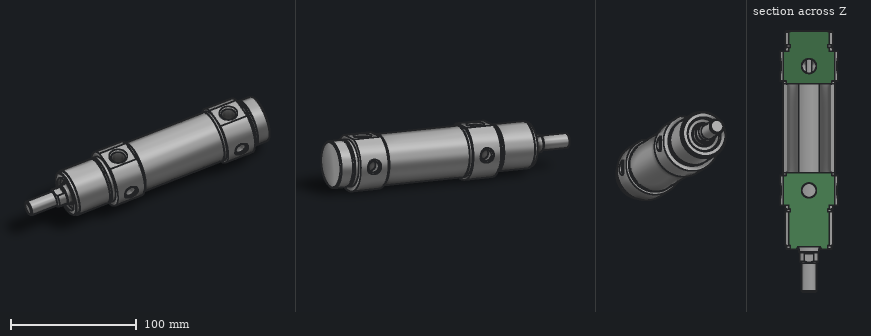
import cadquery as cq
import math


OVERALL_LENGTH = 208.0
NOSE_FACE_Y = 34.0
NOSE_LENGTH = 3.0
COLLAR_LENGTH = 24.0
FRONT_COLLAR_Y = 69.0
REAR_COLLAR_Y = 168.0
LIP_LENGTH = 2.2
NECK_LENGTH = 3.0
GROOVE_WIDTH = 2.0

COLLAR_DIA = 46.0
COLLAR_FLAT_Z = 21.0
MOUNT_DIA = 38.0
GROOVE_DIA = 36.0
NOSE_CHAMFER = 0.5
REAR_CHAMFER = 1.0

PORT_DIA = 11.45
PORT_MOUTH_DIA = 14.5
DRILL_POINT_ANGLE = 118.0

PIVOT_DIA = 8.92
PIVOT_SEAT_DIA = 12.0
PIVOT_SEAT_DEPTH = 2.0
PIVOT_DEPTH = 8.0

RECESS_DIA = 26.0
RECESS_MOUTH_DIA = 28.0
RECESS_DEPTH = 2.0
WIPER_DIA = 19.4
WIPER_LIP_DIA = 18.0
WIPER_CHAMFER_DEPTH = 1.0
ROD_CLEARANCE_DIA = 16.85
ROD_CLEARANCE_DEPTH = 3.0

TUBE_DIA = 41.6
TUBE_BORE = 40.0

ROD_DIA = 16.0
SHANK_DIA = 15.0
SHANK_START_Y = 31.5
FLAT_WIDTH = 13.0
FLAT_END_Y = 30.5
THREAD_DIA = 12.0
THREAD_LENGTH = 23.1
TIP_CHAMFER = 1.0
STEM_DIA = 4.0

TUBE_FRONT_Y = FRONT_COLLAR_Y + COLLAR_LENGTH + LIP_LENGTH
TUBE_REAR_Y = REAR_COLLAR_Y - LIP_LENGTH
STEM_END_Y = REAR_COLLAR_Y + COLLAR_LENGTH


def revolve_profile(points):
    """Turn (radius, y) points around the Y axis; the profile is closed along the axis."""
    start_y = points[0][1]
    end_y = points[-1][1]
    outline = [(0, start_y)] + points + [(0, end_y)]
    return cq.Workplane("XY").polyline(outline).close().revolve(360, (0, 0), (0, 1))


def cylinder(diameter, start_y, end_y):
    return revolve_profile([(diameter / 2, start_y), (diameter / 2, end_y)])


def collar(start_y):
    """Round collar with a flat on top."""
    body = cylinder(COLLAR_DIA, start_y, start_y + COLLAR_LENGTH)
    above_flat = cq.Workplane("XY").box(
        COLLAR_DIA, COLLAR_LENGTH, COLLAR_DIA, centered=(True, False, False)
    ).translate((0, start_y, COLLAR_FLAT_Z))
    return body.cut(above_flat)


def air_port_cutter(port_y):
    """Drilled port with a 45 degree mouth and a conical drill point below the axis."""
    port_r = PORT_DIA / 2
    mouth_r = PORT_MOUTH_DIA / 2
    point_depth = port_r / math.tan(math.radians(DRILL_POINT_ANGLE / 2))
    profile = [
        (0, -point_depth),
        (port_r, 0),
        (port_r, COLLAR_FLAT_Z - (mouth_r - port_r)),
        (mouth_r, COLLAR_FLAT_Z),
        (0, COLLAR_FLAT_Z),
    ]
    cutter = cq.Workplane("XZ").polyline(profile).close().revolve(360, (0, 0), (0, 1))
    return cutter.translate((0, port_y, 0))


def pivot_cutter(pivot_y):
    """Counterbored blind hole entering the collar from the +X side."""
    outside_r = COLLAR_DIA / 2
    profile = [
        (outside_r - PIVOT_DEPTH, 0),
        (outside_r - PIVOT_DEPTH, PIVOT_DIA / 2),
        (outside_r - PIVOT_SEAT_DEPTH, PIVOT_DIA / 2),
        (outside_r - PIVOT_SEAT_DEPTH, PIVOT_SEAT_DIA / 2),
        (outside_r, PIVOT_SEAT_DIA / 2),
        (outside_r, 0),
    ]
    cutter = cq.Workplane("XY").polyline(profile).close().revolve(360, (0, 0), (1, 0))
    return cutter.translate((0, pivot_y, 0))


def drill_collar(head, collar_start_y):
    """Cut the air port and the two opposite pivot holes into a collar."""
    middle_y = collar_start_y + COLLAR_LENGTH / 2
    pivot = pivot_cutter(middle_y)
    return head.cut(air_port_cutter(middle_y)).cut(pivot).cut(pivot.mirror("YZ"))


def make_front_head():
    mount_r = MOUNT_DIA / 2
    groove_r = GROOVE_DIA / 2
    nose_end_y = NOSE_FACE_Y + NOSE_LENGTH
    groove_end_y = FRONT_COLLAR_Y - NECK_LENGTH
    groove_start_y = groove_end_y - GROOVE_WIDTH
    head = revolve_profile([
        (groove_r - NOSE_CHAMFER, NOSE_FACE_Y),
        (groove_r, NOSE_FACE_Y + NOSE_CHAMFER),
        (groove_r, nose_end_y),
        (mount_r, nose_end_y),
        (mount_r, groove_start_y),
        (groove_r, groove_start_y),
        (groove_r, groove_end_y),
        (mount_r, groove_end_y),
        (mount_r, FRONT_COLLAR_Y),
    ])
    head = head.union(collar(FRONT_COLLAR_Y))
    head = head.union(cylinder(TUBE_DIA, FRONT_COLLAR_Y + COLLAR_LENGTH, TUBE_FRONT_Y))

    recess_floor_y = NOSE_FACE_Y + RECESS_DEPTH
    wiper_floor_y = recess_floor_y + WIPER_CHAMFER_DEPTH
    clearance_end_y = wiper_floor_y + ROD_CLEARANCE_DEPTH
    head = head.cut(revolve_profile([
        (RECESS_MOUTH_DIA / 2, NOSE_FACE_Y),
        (RECESS_DIA / 2, recess_floor_y),
        (WIPER_DIA / 2, recess_floor_y),
        (WIPER_LIP_DIA / 2, wiper_floor_y),
        (ROD_CLEARANCE_DIA / 2, wiper_floor_y),
        (ROD_CLEARANCE_DIA / 2, clearance_end_y),
        (ROD_DIA / 2, clearance_end_y),
        (ROD_DIA / 2, TUBE_FRONT_Y),
    ]))
    return drill_collar(head, FRONT_COLLAR_Y)


def make_rear_head():
    mount_r = MOUNT_DIA / 2
    groove_r = GROOVE_DIA / 2
    collar_end_y = REAR_COLLAR_Y + COLLAR_LENGTH
    groove_start_y = collar_end_y + NECK_LENGTH
    groove_end_y = groove_start_y + GROOVE_WIDTH
    head = revolve_profile([
        (mount_r, collar_end_y),
        (mount_r, groove_start_y),
        (groove_r, groove_start_y),
        (groove_r, groove_end_y),
        (mount_r, groove_end_y),
        (mount_r, OVERALL_LENGTH - REAR_CHAMFER),
        (mount_r - REAR_CHAMFER, OVERALL_LENGTH),
    ])
    head = head.union(collar(REAR_COLLAR_Y))
    head = head.union(cylinder(TUBE_DIA, TUBE_REAR_Y, REAR_COLLAR_Y))
    head = head.cut(cylinder(STEM_DIA, TUBE_REAR_Y, STEM_END_Y))
    return drill_collar(head, REAR_COLLAR_Y)


def make_tube():
    outside = cylinder(TUBE_DIA, TUBE_FRONT_Y, TUBE_REAR_Y)
    return outside.cut(cylinder(TUBE_BORE, TUBE_FRONT_Y, TUBE_REAR_Y))


def make_rod():
    thread_r = THREAD_DIA / 2
    flat_z = FLAT_WIDTH / 2
    shank_r = SHANK_DIA / 2
    rod_r = ROD_DIA / 2
    rod = revolve_profile([
        (thread_r - TIP_CHAMFER, 0),
        (thread_r, TIP_CHAMFER),
        (thread_r, THREAD_LENGTH),
        (shank_r, THREAD_LENGTH + shank_r - thread_r),
        (shank_r, SHANK_START_Y),
        (rod_r, SHANK_START_Y + rod_r - shank_r),
        (rod_r, TUBE_REAR_Y),
        (STEM_DIA / 2, TUBE_REAR_Y),
        (STEM_DIA / 2, STEM_END_Y),
    ])
    runout = rod_r - flat_z
    beyond_flat = (
        cq.Workplane("YZ")
        .polyline([
            (THREAD_LENGTH, flat_z),
            (FLAT_END_Y, flat_z),
            (FLAT_END_Y + runout, rod_r),
            (THREAD_LENGTH, rod_r),
        ])
        .close()
        .extrude(rod_r, both=True)
    )
    rod = rod.cut(beyond_flat).cut(beyond_flat.mirror("XY"))
    return rod


front_head = make_front_head()
rear_head = make_rear_head()
tube = make_tube()
rod = make_rod()

result = cq.Compound.makeCompound([front_head.val(), rear_head.val(), tube.val(), rod.val()])